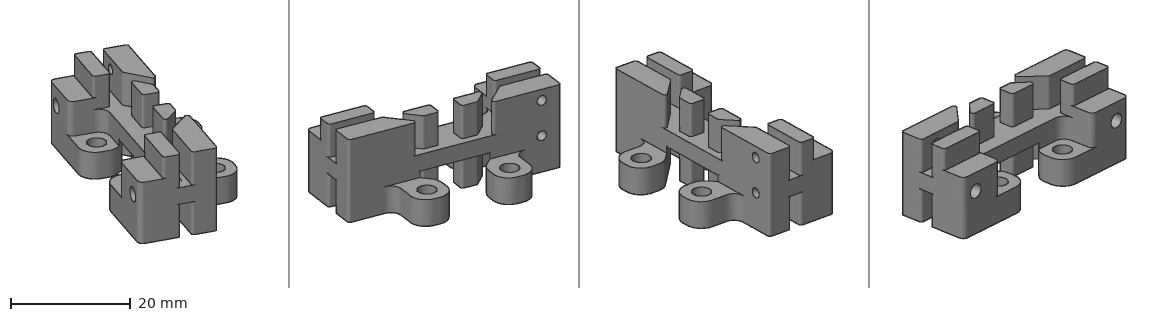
import cadquery as cq
import math

length = 41.0
height = 15.5
half_length = length / 2

web_bottom = 6.2
web_top = 9.3
lug_top = 5.0
step_top = 11.5

web_front = 6.5
rib_front = 4.3
rib_back = 7.4
rear_front = 9.47
rear_back = 14.02
pad_back = 12.6

lug_x = 8.0
lug_half_width = 3.53
front_lug_y = 3.53
rear_lug_y = 18.5
lug_hole_radius = 1.7
lug_radius = 3.0
rear_slant_offset = 2.17
front_slant_offset = 2.05
lug_inner_x = lug_x - lug_half_width
lug_outer_x = lug_x + lug_half_width
lug_back = rear_lug_y + lug_half_width

rear_slant_y = rear_lug_y - rear_slant_offset
front_slant_y = front_lug_y + front_slant_offset

pad_inner_x = 2.17
pad_tip_x = 8.3

small_radius = 0.5
block_radius = 1.0
notch_radius = 2.0

bore_x = 17.5
bore_radius = 1.3
bore_z = web_top - bore_radius
bore_depth = 8.53
bore_tip_angle = 118.0
bore_tip = bore_radius / math.tan(math.radians(bore_tip_angle / 2))

pin_x = -16.8
pin_levels = (6.8, 13.4)
pin_radius = 0.9


def prism(points, bottom, top):
    """Upright prism over a plan outline."""
    return cq.Workplane("XY").workplane(offset=bottom).polyline(points).close().extrude(top - bottom)


def box(x_min, x_max, y_min, y_max, bottom, top):
    """Upright box given by its limits."""
    points = [(x_min, y_min), (x_max, y_min), (x_max, y_max), (x_min, y_max)]
    return prism(points, bottom, top)


def round_upright(solid, radius, corners):
    """Round the upright edges that stand on the given plan corners."""
    reach = 0.05
    for x, y in corners:
        selector = cq.selectors.BoxSelector(
            (x - reach, y - reach, -reach), (x + reach, y + reach, height + reach)
        )
        solid = solid.edges("|Z").edges(selector).fillet(radius)
    return solid


def slant_x(corner_y, y):
    """X reached at a given Y by the 45 degree line from a lug's inner side."""
    return lug_inner_x + abs(y - corner_y)


def web():
    """Middle plate over the full length, notched at the front between the blocks."""
    plate = box(-half_length, half_length, rib_front, rear_back, web_bottom, web_top)
    notch = box(-lug_outer_x, lug_outer_x, 0, web_front, lug_top, height)
    notch = notch.edges("|Z and >Y").fillet(notch_radius)
    outer_corners = [(x, rear_back) for x in (-half_length, half_length)]
    return round_upright(plate.cut(notch), small_radius, outer_corners)


def rear_block():
    """Right rear block: slanted inner end, full height."""
    tip = (slant_x(rear_slant_y, rear_back), rear_back)
    foot = (slant_x(rear_slant_y, rear_front), rear_front)
    points = [tip, foot, (half_length, rear_front), (half_length, rear_back)]
    upper = prism(points, web_top, height).edges("|Z").fillet(small_radius)
    lower = prism(points, 0, web_top)
    return upper.union(round_upright(lower, small_radius, points[1:]))


def rear_lug():
    """Right rear lug, blended into the back face of the block."""
    tip_x = slant_x(rear_slant_y, rear_back)
    foot_y = rear_back - small_radius
    blend_x = lug_outer_x + 2 * notch_radius
    points = [
        (tip_x, rear_back),
        (lug_inner_x, rear_slant_y),
        (lug_inner_x, lug_back),
        (lug_outer_x, lug_back),
        (lug_outer_x, rear_back),
        (blend_x, rear_back),
        (blend_x, foot_y),
        (tip_x + rear_back - foot_y, foot_y),
    ]
    lug = prism(points, 0, lug_top)
    lug = round_upright(lug, lug_radius, points[1:4])
    return round_upright(lug, notch_radius, [points[4]])


def front_base():
    """Right front foot with its lug; a taller part reaches up to the web behind the lug."""
    points = [
        (lug_inner_x, 0),
        (lug_inner_x, front_slant_y),
        (slant_x(front_slant_y, rib_back), rib_back),
        (half_length, rib_back),
        (half_length, 0),
    ]
    base = prism(points, 0, web_bottom)
    base = round_upright(base, lug_radius, points[:2])
    base = round_upright(base, small_radius, [points[3]])
    base = round_upright(base, block_radius, [points[4]])
    recess = box(0, lug_outer_x, 0, web_front, lug_top, web_bottom)
    recess = recess.edges("|Z and >X and >Y").fillet(notch_radius)
    step_room = box(0, half_length, 0, rib_front, lug_top, web_bottom)
    return base.cut(recess).cut(step_room)


def front_block():
    """Right front block above the lug, with the taller rib behind its step."""
    step = box(lug_outer_x, half_length, 0, (rib_front + rib_back) / 2, lug_top, step_top)
    step = step.edges("|Z and <Y").fillet(block_radius)
    rib = box(lug_outer_x, half_length, rib_front, rib_back, web_top, height)
    return step.union(rib.edges("|Z").fillet(small_radius))


def pad():
    """Right centre pad, passing through the web from bottom to top."""
    points = [
        (pad_inner_x, rear_front),
        (pad_tip_x, rear_front),
        (pad_tip_x - (pad_back - rear_front), pad_back),
        (pad_inner_x, pad_back),
    ]
    return prism(points, 0, height).edges("|Z").fillet(small_radius)


def lug_hole(y):
    """Upright screw hole through a right lug."""
    return cq.Workplane("XY").center(lug_x, y).circle(lug_hole_radius).extrude(height)


def front_bore():
    """Blind bore with a conical bottom, entering the right front face."""
    profile = [(0, 0), (bore_radius, 0), (bore_radius, bore_depth), (0, bore_depth + bore_tip)]
    bore = cq.Workplane("XY").polyline(profile).close().revolve(360, (0, 0), (0, 1))
    return bore.translate((bore_x, 0, bore_z))


def pin_hole(z):
    """Hole from the back face of the left rear block, ending where the bore cone starts."""
    plane = cq.Workplane("XZ", origin=(pin_x, rear_back, z))
    return plane.circle(pin_radius).extrude(rear_back - bore_depth)


def both_sides(shape):
    """A right-hand shape together with its mirror image."""
    return shape, shape.mirror("YZ")


result = web()
for feature in (rear_block(), rear_lug(), front_base(), front_block(), pad()):
    for side in both_sides(feature):
        result = result.union(side)

for cutter in (lug_hole(front_lug_y), lug_hole(rear_lug_y), front_bore()):
    for side in both_sides(cutter):
        result = result.cut(side)

for level in pin_levels:
    result = result.cut(pin_hole(level))